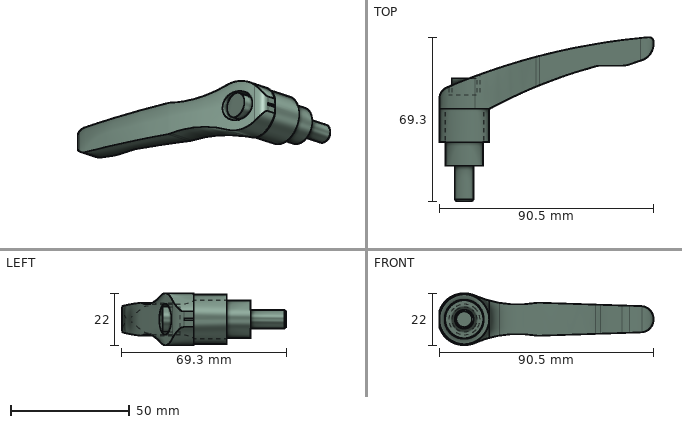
import cadquery as cq
import math


stud_diameter = 8.0
stud_tip_diameter = 6.6
stud_length = 15.0
stud_chamfer_length = 0.85
sleeve_diameter = 16.0
sleeve_length = 10.0
collar_diameter = 21.0
collar_bore_diameter = 16.6
collar_length = 14.0
screw_head_diameter = 10.6
screw_head_height = 7.0
screw_head_top = 37.0
screw_bore_diameter = 13.0

collar_base = sleeve_length
head_base = collar_base + collar_length
head_side_x = -collar_diameter / 2
tip_x = 80.0
upper_start = (head_side_x, 31.7)
upper_middle = (32.0, 46.5)
upper_end = (tip_x, 54.5)
head_base_end = (10.6, head_base)
underside_start = (14.7, 26.1)
underside_middle = (35.4, 35.4)
grip_y = 42.2
grip_start = (56.4, grip_y)
grip_end = (68.2, grip_y)
nose_slope = 0.345
nose_corner = (tip_x, grip_y + nose_slope * (tip_x - grip_end[0]))
head_round = 5.2
grip_start_round = 8.0
grip_end_round = 10.0
nose_round = 7.4
tip_round = 2.0

head_radius = 11.0
head_tangent_x = 4.4
waist_x = 22.6
shoulder_start_x = 30.2
shoulder_end_x = 31.6
shoulder_half_width = 7.02
tip_radius = 5.6
tip_center_x = tip_x - tip_radius
trim_margin = 1.0

mark_width = 0.85
mark_length = 4.0
mark_depth = 0.2


def cylinder(diameter, start, length):
    """Cylinder on the Y axis from Y = start towards +Y."""
    axis_plane = cq.Workplane("XZ", origin=(0, start, 0))
    return axis_plane.circle(diameter / 2).extrude(-length)


def side_profile():
    """Handle side shape, wide enough in Z to be trimmed by the outline."""
    profile = (
        cq.Workplane("XY")
        .moveTo(head_side_x, head_base)
        .lineTo(*head_base_end)
        .lineTo(*underside_start)
        .threePointArc(underside_middle, grip_start)
        .lineTo(*grip_end)
        .lineTo(*nose_corner)
        .lineTo(*upper_end)
        .threePointArc(upper_middle, upper_start)
        .close()
        .extrude(head_radius + trim_margin, both=True)
    )
    corner_rounds = [
        (upper_start, head_round),
        (grip_start, grip_start_round),
        (grip_end, grip_end_round),
        (nose_corner, nose_round),
        (upper_end, tip_round),
    ]
    for (x, y), radius in corner_rounds:
        corner = cq.selectors.NearestToPointSelector((x, y, 0))
        profile = profile.edges("|Z").edges(corner).fillet(radius)
    return profile


def outline():
    """Handle outline: round head, waist, shoulder and tapered arm with a round tip."""
    tangent_half_width = math.sqrt(head_radius**2 - head_tangent_x**2)
    waist_radius = (waist_x - head_tangent_x) * head_radius / head_tangent_x
    waist_center_z = tangent_half_width * (1 + waist_radius / head_radius)

    def waist_half_width(x):
        return waist_center_z - math.sqrt(waist_radius**2 - (x - waist_x) ** 2)

    tip_diagonal = tip_radius * math.sqrt(0.5)
    tip_arc_middle = (tip_center_x + tip_diagonal, tip_diagonal)
    half_outline = (
        cq.Workplane("XZ")
        .moveTo(-head_radius, 0)
        .threePointArc((0, head_radius), (head_tangent_x, tangent_half_width))
        .threePointArc(
            (waist_x, waist_half_width(waist_x)),
            (shoulder_start_x, waist_half_width(shoulder_start_x)),
        )
        .tangentArcPoint((shoulder_end_x, shoulder_half_width), relative=False)
        .lineTo(tip_center_x, tip_radius)
        .threePointArc(tip_arc_middle, (tip_x, 0))
        .close()
        .extrude(-(upper_end[1] + trim_margin))
    )
    return half_outline.union(half_outline.mirror("XY"))


def handle():
    """Handle with its screw well, collar and the index mark."""
    body = side_profile().intersect(outline())
    body = body.union(cylinder(collar_diameter, collar_base, collar_length))
    well_floor = screw_head_top - screw_head_height
    body = body.cut(cylinder(screw_bore_diameter, well_floor, upper_end[1] - well_floor))
    body = body.cut(cylinder(collar_bore_diameter, collar_base, collar_length))
    mark = cq.Workplane("XY").box(
        mark_depth, mark_length, mark_width, centered=(False, False, True)
    )
    return body.cut(mark.translate((head_side_x, head_base, 0)))


def stud():
    """Stud, sleeve and screw head on one axis."""
    chamfer_inset = (stud_diameter - stud_tip_diameter) / 2
    shank = cylinder(stud_diameter, -stud_length, stud_length)
    shank = shank.faces("<Y").chamfer(stud_chamfer_length, chamfer_inset)
    sleeve = cylinder(sleeve_diameter, 0, head_base)
    screw_head = cylinder(
        screw_head_diameter, screw_head_top - screw_head_height, screw_head_height
    )
    return shank.union(sleeve).union(screw_head)


result = handle().union(stud())